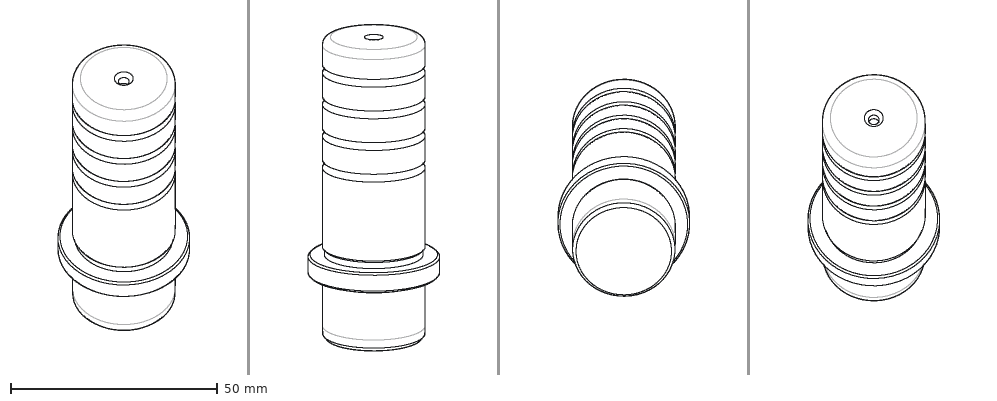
import cadquery as cq
import math

height = 76.0
body_diameter = 25.0
body_radius = body_diameter / 2
flange_diameter = 32.0
flange_radius = flange_diameter / 2
relief_depth = 0.5

foot_chamfer_height = 1.0
foot_chamfer_width = 0.8
lead_in_height = 3.05
lead_in_inset = 0.1

flange_bottom = 15.95
flange_top = 21.0
flange_chamfer = 0.5
upper_neck_top = 23.0
upper_neck_slope = 0.5

top_fillet = 2.0
groove_count = 4
groove_span = 24.0
groove_pitch = groove_span / (groove_count - 1)
groove_width = 2.0
first_groove_depth = 8.0

hole_mouth_radius = 2.3
pilot_radius = 1.3
countersink_angle = 90.0
pilot_depth = 2.0
drill_point_angle = 120.0


def groove_section():
    """Return the center radius and arc radius of the groove section."""
    half_width = groove_width / 2
    arc_radius = (half_width**2 + relief_depth**2) / (2 * relief_depth)
    return body_radius - relief_depth + arc_radius, arc_radius


def make_body():
    """Revolve the outer profile without the shank grooves."""
    neck_radius = body_radius - relief_depth
    lead_in_radius = body_radius - lead_in_inset
    flange_face_radius = flange_radius - flange_chamfer
    fillet_mid_offset = top_fillet * (1 - math.sqrt(0.5))
    section_center, section_radius = groove_section()
    half_sweep = math.asin(groove_width / 2 / section_radius) / 2
    arc_middle = (
        section_center - section_radius * math.cos(half_sweep),
        flange_bottom - section_radius * math.sin(half_sweep),
    )
    profile = (
        cq.Workplane("XZ")
        .lineTo(lead_in_radius - foot_chamfer_width, 0)
        .lineTo(lead_in_radius, foot_chamfer_height)
        .lineTo(body_radius, lead_in_height)
        .lineTo(body_radius, flange_bottom - groove_width / 2)
        .threePointArc(arc_middle, (neck_radius, flange_bottom))
        .lineTo(flange_face_radius, flange_bottom)
        .lineTo(flange_radius, flange_bottom + flange_chamfer)
        .lineTo(flange_radius, flange_top - flange_chamfer)
        .lineTo(flange_face_radius, flange_top)
        .lineTo(neck_radius, flange_top)
        .lineTo(neck_radius, upper_neck_top - upper_neck_slope)
        .lineTo(body_radius, upper_neck_top)
        .lineTo(body_radius, height - top_fillet)
        .threePointArc(
            (body_radius - fillet_mid_offset, height - fillet_mid_offset),
            (body_radius - top_fillet, height),
        )
        .lineTo(0, height)
        .close()
    )
    return profile.revolve(360, (0, 0), (0, 1))


def make_groove(center_height):
    """Ring with a circular-arc section, bulging inward to the relief depth."""
    section_center, section_radius = groove_section()
    return (
        cq.Workplane("XZ")
        .center(section_center, center_height)
        .circle(section_radius)
        .revolve(360, (-section_center, 0), (-section_center, 1))
    )


def make_center_hole():
    """Countersink, pilot and drill point, cut down from the top face."""
    sink_depth = (hole_mouth_radius - pilot_radius) / math.tan(math.radians(countersink_angle / 2))
    point_depth = pilot_radius / math.tan(math.radians(drill_point_angle / 2))
    pilot_top = height - sink_depth
    pilot_bottom = pilot_top - pilot_depth
    return (
        cq.Workplane("XZ")
        .moveTo(0, height)
        .lineTo(hole_mouth_radius, height)
        .lineTo(pilot_radius, pilot_top)
        .lineTo(pilot_radius, pilot_bottom)
        .lineTo(0, pilot_bottom - point_depth)
        .close()
        .revolve(360, (0, 0), (0, 1))
    )


result = make_body()
for index in range(groove_count):
    groove_height = height - first_groove_depth - index * groove_pitch
    result = result.cut(make_groove(groove_height))
result = result.cut(make_center_hole())